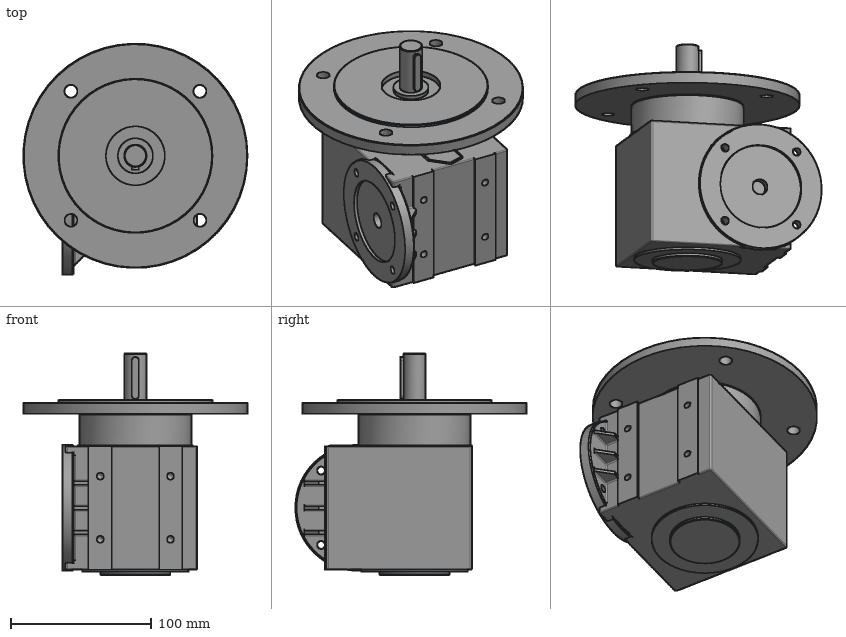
import cadquery as cq
import math


HOUSING_LEFT = -50.0
HOUSING_RIGHT = 44.0
HOUSING_FRONT = -63.0
HOUSING_BACK = 41.0
HOUSING_TOP = 44.0
HOUSING_BOTTOM = -HOUSING_TOP
CORNER_RADIUS = 1.5
EDGE_RADIUS = 0.8
PANEL_DEPTH = 1.0

PAD_INNER = 17.0
PAD_OUTER = 33.5
PAD_HEIGHT = 1.0
PAD_FRONT = HOUSING_FRONT - PAD_HEIGHT
PAD_HOLE_X = 25.0
PAD_HOLE_Z = 22.5
PAD_HOLE_DIAMETER = 4.92
BLIND_HOLE_DEPTH = 12.0
DRILL_POINT_ANGLE = 118.0

COVER_DIAMETER = 76.0
COVER_BOTTOM = -45.7
BOSS_DIAMETER = 50.0
BOSS_BOTTOM = -48.0
BOSS_CHAMFER = 0.5

NECK_BASE_DIAMETER = 82.0
NECK_BASE_HEIGHT = 0.5
NECK_DIAMETER = 80.0
NECK_RELIEF_DIAMETER = 79.0
NECK_RELIEF_HEIGHT = 0.8
FLANGE_DIAMETER = 160.0
FLANGE_BOTTOM = 67.0
FLANGE_TOP = 75.0
FLANGE_CHAMFER = 0.5
PILOT_DIAMETER = 110.0
PILOT_TOP = 77.0
FLANGE_BOLT_CIRCLE = 130.0
FLANGE_HOLE_DIAMETER = 9.0
SEAL_RECESS_DIAMETER = 42.0
SEAL_RECESS_FLOOR = 73.0
COLLAR_DIAMETER = 25.0
COLLAR_TOP = 75.7

SHAFT_DIAMETER = 16.0
SHAFT_TOP = 110.0
SHAFT_CHAMFER = 0.5
KEY_WIDTH = 5.0
KEY_LENGTH = 30.0
KEY_BOTTOM = 77.5
KEY_FRONT = -10.0

INPUT_Y = -40.0
INPUT_DIAMETER = 90.0
INPUT_FACE = -52.0
INPUT_BACK = -44.0
INPUT_CHAMFER = 1.0
POCKET_CLEARANCE = 0.5
INPUT_RECESS_DIAMETER = 60.0
INPUT_RECESS_DEPTH = 2.5
INPUT_BORE_DIAMETER = 11.0
INPUT_BORE_DEPTH = 9.0
INPUT_BOLT_CIRCLE = 75.0
INPUT_HOLE_DIAMETER = 5.5

RIB_THICKNESS = 2.5
RIB_PITCH = 17.7
RIB_FRONT = -78.7
RIB_END = -PAD_OUTER
RIB_FILLET = 1.0
RIB_SLAB = 0.5

TOP_PAD_HEIGHT = 0.5
TOP_PAD_BEVEL = 1.4
TOP_PAD_CORNERS = [(-13.5, -49.5), (-1.5, -61.5), (11.0, -57.5), (11.0, -36.0), (-13.5, -36.0)]
TOP_PAD_CORNER_RADIUS = 2.0


def disc(diameter, z_low, z_high):
    """Upright cylinder on the output axis."""
    return cq.Workplane("XY").workplane(offset=z_low).circle(diameter / 2).extrude(z_high - z_low)


def input_disc(diameter, x_low, x_high):
    """Cylinder along X on the input axis."""
    plane = cq.Workplane("YZ", origin=(x_low, INPUT_Y, 0))
    return plane.circle(diameter / 2).extrude(x_high - x_low)


def block(x_low, x_high, y_low, y_high, z_low, z_high):
    size = (x_high - x_low, y_high - y_low, z_high - z_low)
    return cq.Workplane("XY", origin=(x_low, y_low, z_low)).box(*size, centered=False)


def blind_hole(entry, direction, diameter):
    """Blind hole with a drill point, entering at the given point."""
    radius = diameter / 2
    point_length = radius / math.tan(math.radians(DRILL_POINT_ANGLE / 2))
    barrel = cq.Solid.makeCylinder(radius, BLIND_HOLE_DEPTH, entry, direction)
    tip_start = entry + direction * BLIND_HOLE_DEPTH
    tip = cq.Solid.makeCone(radius, 0, point_length, tip_start, direction)
    return cq.Workplane(barrel).union(cq.Workplane(tip))


def make_housing():
    """Block with a shallow panel between the pads and the pocket for the input flange."""
    body = block(HOUSING_LEFT, HOUSING_RIGHT, HOUSING_FRONT, HOUSING_BACK, HOUSING_BOTTOM, HOUSING_TOP)
    body = body.edges("|Z").fillet(CORNER_RADIUS)
    panel_back = HOUSING_FRONT + PANEL_DEPTH
    panel = block(-PAD_INNER, PAD_INNER, HOUSING_FRONT, panel_back, HOUSING_BOTTOM, HOUSING_TOP)
    body = body.cut(panel)
    body = body.faces("<Z or >Z").edges().fillet(EDGE_RADIUS)
    pocket_diameter = INPUT_DIAMETER + 2 * POCKET_CLEARANCE
    return body.cut(input_disc(pocket_diameter, INPUT_FACE, INPUT_BACK))


def make_pads():
    left = block(-PAD_OUTER, -PAD_INNER, PAD_FRONT, INPUT_Y, HOUSING_BOTTOM, HOUSING_TOP)
    return left.union(left.mirror("YZ"))


def make_top_pad():
    pad = cq.Workplane("XY").workplane(offset=HOUSING_TOP)
    pad = pad.polyline(TOP_PAD_CORNERS).close().extrude(TOP_PAD_HEIGHT)
    pad = pad.edges("|Z").fillet(TOP_PAD_CORNER_RADIUS)
    return pad.faces(">Z").edges().chamfer(TOP_PAD_HEIGHT * 0.98, TOP_PAD_BEVEL)


def make_bottom():
    cover = disc(COVER_DIAMETER, COVER_BOTTOM, HOUSING_BOTTOM)
    boss = disc(BOSS_DIAMETER, BOSS_BOTTOM, COVER_BOTTOM)
    return cover.union(boss.faces("<Z").edges().chamfer(BOSS_CHAMFER))


def make_output():
    neck = disc(NECK_BASE_DIAMETER, HOUSING_TOP, HOUSING_TOP + NECK_BASE_HEIGHT)
    relief_bottom = FLANGE_BOTTOM - NECK_RELIEF_HEIGHT
    neck = neck.union(disc(NECK_DIAMETER, HOUSING_TOP, relief_bottom))
    neck = neck.union(disc(NECK_RELIEF_DIAMETER, relief_bottom, FLANGE_BOTTOM))
    flange = disc(FLANGE_DIAMETER, FLANGE_BOTTOM, FLANGE_TOP)
    flange = flange.faces(">Z").edges().chamfer(FLANGE_CHAMFER)
    pilot = disc(PILOT_DIAMETER, FLANGE_TOP, PILOT_TOP)
    pilot = pilot.faces(">Z").edges().chamfer(FLANGE_CHAMFER)
    holes = cq.Workplane("XY").workplane(offset=FLANGE_BOTTOM)
    holes = holes.polarArray(FLANGE_BOLT_CIRCLE / 2, 45, 360, 4).circle(FLANGE_HOLE_DIAMETER / 2)
    holes = holes.extrude(FLANGE_TOP - FLANGE_BOTTOM)
    output = neck.union(flange).union(pilot).cut(holes)
    output = output.cut(disc(SEAL_RECESS_DIAMETER, SEAL_RECESS_FLOOR, PILOT_TOP))
    return output.union(disc(COLLAR_DIAMETER, SEAL_RECESS_FLOOR, COLLAR_TOP))


def make_shaft():
    shaft = disc(SHAFT_DIAMETER, SEAL_RECESS_FLOOR, SHAFT_TOP)
    shaft = shaft.faces(">Z").edges().chamfer(SHAFT_CHAMFER)
    key = cq.Workplane("XZ").center(0, KEY_BOTTOM + KEY_LENGTH / 2)
    key = key.slot2D(KEY_LENGTH, KEY_WIDTH, 90).extrude(-KEY_FRONT)
    return shaft.union(key)


def make_input():
    flange = input_disc(INPUT_DIAMETER, INPUT_FACE, INPUT_BACK)
    return flange.faces(">X").edges().chamfer(INPUT_CHAMFER)


def is_rib_root(edge):
    """True for the inner corner edges between flange back, housing front and rib sides."""
    box = edge.BoundingBox()
    tolerance = 0.01
    on_housing = abs(box.ymin - HOUSING_FRONT) + abs(box.ymax - HOUSING_FRONT) < tolerance
    on_flange = abs(box.xmin - INPUT_BACK) + abs(box.xmax - INPUT_BACK) < tolerance
    along_rib = box.zmax - box.zmin < tolerance
    inside_outline = max(abs(box.zmin), abs(box.zmax)) < INPUT_DIAMETER / 2 - tolerance
    return (on_housing and on_flange) or (along_rib and inside_outline and (on_housing or on_flange))


def make_ribs():
    """Ribs with rounded roots, on thin slabs that sink into the flange and the housing."""
    reach = INPUT_DIAMETER / 2
    slab_left = INPUT_BACK - RIB_SLAB
    slab_back = HOUSING_FRONT + RIB_SLAB
    ribs = block(slab_left, INPUT_BACK, INPUT_Y - reach, slab_back, -reach, reach)
    ribs = ribs.union(block(slab_left, RIB_END, HOUSING_FRONT, slab_back, -reach, reach))
    profile = [
        (INPUT_BACK, HOUSING_FRONT),
        (INPUT_BACK, RIB_FRONT),
        (RIB_END, RIB_FRONT + RIB_END - INPUT_BACK),
        (RIB_END, HOUSING_FRONT),
    ]
    for step in (-1, 0, 1):
        plane = cq.Workplane("XY").workplane(offset=step * RIB_PITCH - RIB_THICKNESS / 2)
        ribs = ribs.union(plane.polyline(profile).close().extrude(RIB_THICKNESS))
    roots = [edge for edge in ribs.edges().vals() if is_rib_root(edge)]
    ribs = ribs.newObject(roots).fillet(RIB_FILLET)
    return ribs.intersect(input_disc(INPUT_DIAMETER - 2 * INPUT_CHAMFER, slab_left, RIB_END))


def cut_pad_holes(part):
    inward = cq.Vector(0, 1, 0)
    for x in (-PAD_HOLE_X, PAD_HOLE_X):
        for z in (-PAD_HOLE_Z, PAD_HOLE_Z):
            part = part.cut(blind_hole(cq.Vector(x, PAD_FRONT, z), inward, PAD_HOLE_DIAMETER))
    return part


def cut_input_holes(part):
    inward = cq.Vector(1, 0, 0)
    offset = INPUT_BOLT_CIRCLE / 2 * math.sqrt(0.5)
    for y in (INPUT_Y - offset, INPUT_Y + offset):
        for z in (-offset, offset):
            hole = blind_hole(cq.Vector(INPUT_FACE, y, z), inward, INPUT_HOLE_DIAMETER)
            part = part.cut(hole)
    part = part.cut(input_disc(INPUT_RECESS_DIAMETER, INPUT_FACE, INPUT_FACE + INPUT_RECESS_DEPTH))
    return part.cut(input_disc(INPUT_BORE_DIAMETER, INPUT_FACE, INPUT_FACE + INPUT_BORE_DEPTH))


result = make_housing().union(make_input()).union(make_ribs())
result = result.union(make_pads()).union(make_top_pad())
result = result.union(make_bottom()).union(make_output()).union(make_shaft())
result = cut_input_holes(cut_pad_holes(result))